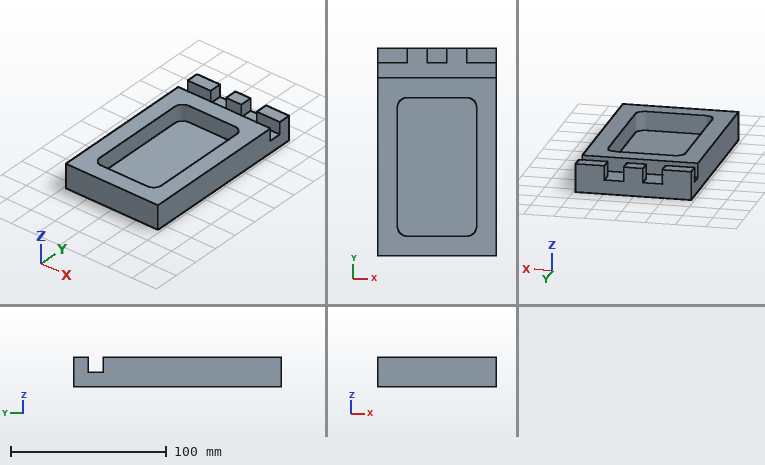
import cadquery as cq

width = 76.2
length = 133.35
height = 19.05

groove_width = 9.525
lug_thickness = 9.525
step_depth = height / 2
centre_lug_width = 12.7
lug_gap = 12.7

pocket_wall = 12.7
pocket_depth = 12.7
pocket_corner_radius = 6.35

body_length = length - groove_width - lug_thickness
step_floor = height - step_depth
pocket_width = width - 2 * pocket_wall
pocket_length = body_length - 2 * pocket_wall
gap_offset = (centre_lug_width + lug_gap) / 2


def box_at(size_x, size_y, size_z, centre_x, start_y, start_z):
    """Box centred on centre_x in X, growing from start_y and start_z."""
    box = cq.Workplane("XY").box(size_x, size_y, size_z, centered=(True, False, False))
    return box.translate((centre_x, start_y, start_z))


def cut_groove(part):
    """Cut the groove across the full width between body and lugs."""
    return part.cut(box_at(width, groove_width, step_depth, 0, body_length, step_floor))


def cut_lug_gaps(part):
    """Split the back wall into three lugs, down to the groove floor."""
    for gap_x in (-gap_offset, gap_offset):
        lug_start = body_length + groove_width
        part = part.cut(box_at(lug_gap, lug_thickness, step_depth, gap_x, lug_start, step_floor))
    return part


def cut_pocket(part):
    """Sink the round-cornered pocket into the top of the body."""
    pocket = box_at(pocket_width, pocket_length, pocket_depth, 0, pocket_wall, height - pocket_depth)
    pocket = pocket.edges("|Z").fillet(pocket_corner_radius)
    return part.cut(pocket)


result = box_at(width, length, height, 0, 0, 0)
result = cut_groove(result)
result = cut_lug_gaps(result)
result = cut_pocket(result)